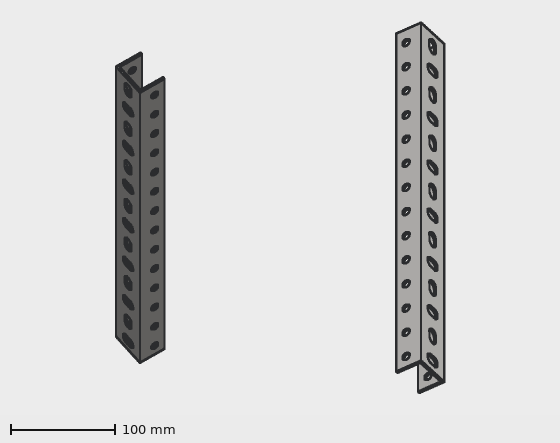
import cadquery as cq

width = 39.27
depth = 29.0
length = 420.0
wall = 2.5

pitch = 30.0
hole_count = 14
first_hole_height = 13.5
hole_heights = [first_hole_height + i * pitch for i in range(hole_count)]

slot_length = 17.0
slot_width = 11.0
crosswise_angle = 0
lengthwise_angle = 90

flange_hole_diameter = 8.2
flange_hole_from_web = 17.5


def channel():
    """U-shaped channel standing along Z, web outer face at Y = 0, open toward +Y."""
    outer = cq.Workplane("XY").center(0, depth / 2).rect(width, depth).extrude(length)
    hollow = (
        cq.Workplane("XY")
        .center(0, wall + depth / 2)
        .rect(width - 2 * wall, depth)
        .extrude(length)
    )
    return outer.cut(hollow)


def web_slots(heights, angle):
    """Round-ended slots through the web, centred on its width."""
    centers = [(0, height) for height in heights]
    return cq.Workplane("XZ").pushPoints(centers).slot2D(slot_length, slot_width, angle).extrude(-wall)


def flange_holes():
    """One row of round holes passing through both flanges."""
    centers = [(flange_hole_from_web, height) for height in hole_heights]
    row = cq.Workplane("YZ").pushPoints(centers).circle(flange_hole_diameter / 2)
    return row.extrude(width / 2, both=True)


result = (
    channel()
    .cut(web_slots(hole_heights[0::2], crosswise_angle))
    .cut(web_slots(hole_heights[1::2], lengthwise_angle))
    .cut(flange_holes())
)